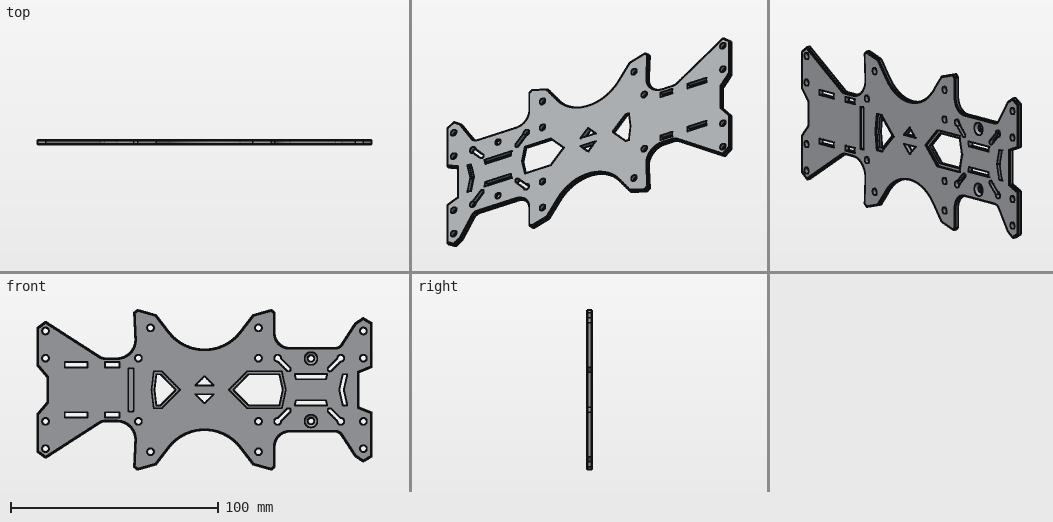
import cadquery as cq
import math

length = 161.28
height = 77.27
thickness = 2.5
edge_chamfer = 0.5
half_length = length / 2
half_height = height / 2
front_y = -thickness / 2

rear_notch_x = -75.9
rear_notch_floor_z = 6.0
rear_notch_mouth_z = 11.6
rear_corner_z = 30.0
rear_tip_x = -76.7
rear_tip_z = 32.9
rear_waist_z = 15.3
rear_slope_end = (-50.6, 16.1)
rear_slope_blend_x = -48.3
rear_waist_radius = 8.8
ear_root_x = 33.5
rear_ear_corner_x = 34.1
ear_corner_x = 33.95
ear_corner_z = 37.2
ear_tip_x = 32.3
ear_shoulder_x = 23.4
ear_shoulder_z = 36.1
scallop_radius = 21.6
scallop_center_z = 41.1
front_waist_z = 20.25
front_waist_radius = 7.2
front_waist_end_x = 63.0
front_slope_start = (66.2, 22.1)
front_slope_end = (72.7, 32.1)
front_tip_x = 76.6
front_tip_z = 34.7
front_corner_z = 32.3
front_notch_x = 74.5
front_notch_floor_z = 8.4
front_notch_mouth_z = 10.9

bolt_hole_diameter = 3.2
bolt_hole_positions = [
    (-76.75, 28.4),
    (-76.75, 15.25),
    (-31.9, 15.25),
    (-26.05, 29.9),
    (26.05, 29.9),
    (26.05, 15.25),
    (76.7, 28.4),
    (76.7, 15.25),
]
countersink_x = 51.4
countersink_z = 15.1
countersink_diameter = 6.2
countersink_bore_diameter = 3.05
countersink_depth = 1.2

stack_center_x = 50.55
stack_large_pitch = 30.5
stack_small_pitch = 20.0
keyhole_slot_width = 2.1

strap_slot_width = 2.5
strap_slot_z = 12.1
rear_strap_slots = [(-62.0, 10.9), (-44.5, 6.9)]
front_strap_slot_x = 51.4
front_strap_outer_length = 15.6
front_strap_inner_length = 14.4
front_strap_outer_z = 7.55
front_strap_inner_z = 5.1

groove_x = -35.5
groove_width = 2.5
groove_length = 21.0
groove_depth = 0.8
groove_corner_radius = 0.5

window_half_height = 9.0
window_apex_x = 11.8
window_shoulder_x = 20.7
rear_window_end_x = 24.5
rear_window_middle_x = 25.6
front_window_end_x = 37.3
front_window_middle_x = 39.3
rim_width = 1.5
rim_depth = 1.0

triangle_half_base = 4.4
triangle_base_z = 2.2
triangle_apex_z = 6.6
chevron_width = 2.1
chevron_half_height = 7.5
chevron_middle_x = 65.1
chevron_end_x = 66.8


def plane_at(y):
    """Sketch plane at the given Y: local x is +X, local y is +Z, and the normal is -Y."""
    return cq.Workplane(cq.Plane(origin=(0, y, 0), xDir=(1, 0, 0), normal=(0, -1, 0)))


def cut_prism(wire, depth=thickness):
    """Solid that enters from the front face to the given depth."""
    return wire.extrude(-depth)


def polygon_prism(points, depth=thickness):
    return cut_prism(plane_at(front_y).polyline(points).close(), depth)


def mirrored_pair(solid):
    return solid.union(solid.mirror("XY"))


def scallop_tangent_point():
    """Point where the line from the +X ear shoulder touches the scallop circle."""
    dx = ear_shoulder_x
    dz = ear_shoulder_z - scallop_center_z
    distance = math.hypot(dx, dz)
    angle = math.atan2(dz, dx) - math.acos(scallop_radius / distance)
    return (
        scallop_radius * math.cos(angle),
        scallop_center_z + scallop_radius * math.sin(angle),
    )


def make_plate():
    tangent_x, tangent_z = scallop_tangent_point()
    arc_middle_inset = front_waist_radius * (1 - math.sqrt(0.5))
    upper = (
        plane_at(front_y)
        .moveTo(rear_notch_x, 0)
        .lineTo(rear_notch_x, rear_notch_floor_z)
        .lineTo(-half_length, rear_notch_mouth_z)
        .lineTo(-half_length, rear_corner_z)
        .lineTo(rear_tip_x, rear_tip_z)
        .lineTo(*rear_slope_end)
        .tangentArcPoint((rear_slope_blend_x, rear_waist_z), relative=False)
        .lineTo(-ear_root_x - rear_waist_radius, rear_waist_z)
        .tangentArcPoint((-ear_root_x, rear_waist_z + rear_waist_radius), relative=False)
        .lineTo(-rear_ear_corner_x, ear_corner_z)
        .lineTo(-ear_tip_x, half_height)
        .lineTo(-ear_shoulder_x, ear_shoulder_z)
        .lineTo(-tangent_x, tangent_z)
        .threePointArc((0, scallop_center_z - scallop_radius), (tangent_x, tangent_z))
        .lineTo(ear_shoulder_x, ear_shoulder_z)
        .lineTo(ear_tip_x, half_height)
        .lineTo(ear_corner_x, ear_corner_z)
        .lineTo(ear_corner_x, front_waist_z + front_waist_radius)
        .threePointArc(
            (ear_corner_x + arc_middle_inset, front_waist_z + arc_middle_inset),
            (ear_corner_x + front_waist_radius, front_waist_z),
        )
        .lineTo(front_waist_end_x, front_waist_z)
        .tangentArcPoint(front_slope_start, relative=False)
        .lineTo(*front_slope_end)
        .lineTo(front_tip_x, front_tip_z)
        .lineTo(half_length, front_corner_z)
        .lineTo(half_length, front_notch_mouth_z)
        .lineTo(front_notch_x, front_notch_floor_z)
        .lineTo(front_notch_x, 0)
        .close()
    )
    plate = mirrored_pair(cut_prism(upper)).clean()
    return plate.faces("<Y or >Y").chamfer(edge_chamfer)


def bolt_holes():
    points = [(x, side * z) for x, z in bolt_hole_positions for side in (1, -1)]
    return cut_prism(plane_at(front_y).pushPoints(points).circle(bolt_hole_diameter / 2))


def countersunk_holes():
    top_radius = countersink_diameter / 2
    hole_radius = countersink_bore_diameter / 2
    hole = (
        cq.Workplane("XY")
        .polyline([
            (0, front_y),
            (top_radius, front_y),
            (hole_radius, front_y + countersink_depth),
            (hole_radius, -front_y),
            (0, -front_y),
        ])
        .close()
        .revolve(360, (0, 0, 0), (0, 1, 0))
    )
    return mirrored_pair(hole.translate((countersink_x, 0, countersink_z)))


def keyhole_slots():
    large = stack_large_pitch / 2
    small = stack_small_pitch / 2
    slot_center = (large + small) / 2
    slot_length = (large - small) * math.sqrt(2) + keyhole_slot_width
    slots = None
    for side in (1, -1):
        bore = cut_prism(
            plane_at(front_y)
            .center(stack_center_x + side * large, large)
            .circle(bolt_hole_diameter / 2)
        )
        slot = cut_prism(
            plane_at(front_y)
            .center(stack_center_x + side * slot_center, slot_center)
            .slot2D(slot_length, keyhole_slot_width, side * 45)
        )
        keyhole = bore.union(slot)
        slots = keyhole if slots is None else slots.union(keyhole)
    return mirrored_pair(slots)


def rear_strap_slot(center_x, slot_length):
    wire = plane_at(front_y).center(center_x, strap_slot_z).rect(slot_length, strap_slot_width)
    return mirrored_pair(cut_prism(wire))


def front_strap_slots():
    outer = front_strap_outer_length / 2
    inner = front_strap_inner_length / 2
    return mirrored_pair(polygon_prism([
        (front_strap_slot_x - outer, front_strap_outer_z),
        (front_strap_slot_x + outer, front_strap_outer_z),
        (front_strap_slot_x + inner, front_strap_inner_z),
        (front_strap_slot_x - inner, front_strap_inner_z),
    ]))


def rear_groove():
    wire = plane_at(front_y).center(groove_x, 0).rect(groove_width, groove_length)
    return cut_prism(wire, groove_depth).edges("|Y").fillet(groove_corner_radius)


def rimmed_window(direction, end_x, middle_x):
    """Pointed window toward the plate centre, with a recessed rim around it."""
    points = [
        (direction * window_apex_x, 0),
        (direction * window_shoulder_x, window_half_height),
        (direction * end_x, window_half_height),
        (direction * middle_x, 0),
        (direction * end_x, -window_half_height),
        (direction * window_shoulder_x, -window_half_height),
    ]
    rim = polygon_prism(points, rim_depth)
    opening = plane_at(front_y).polyline(points).close().offset2D(-rim_width)
    return rim.union(cut_prism(opening))


def center_triangles():
    return mirrored_pair(polygon_prism([
        (-triangle_half_base, triangle_base_z),
        (triangle_half_base, triangle_base_z),
        (0, triangle_apex_z),
    ]))


def chevron_slot():
    return polygon_prism([
        (chevron_middle_x, 0),
        (chevron_end_x, chevron_half_height),
        (chevron_end_x + chevron_width, chevron_half_height),
        (chevron_middle_x + chevron_width, 0),
        (chevron_end_x + chevron_width, -chevron_half_height),
        (chevron_end_x, -chevron_half_height),
    ])


cutters = [
    bolt_holes(),
    countersunk_holes(),
    keyhole_slots(),
    front_strap_slots(),
    rear_groove(),
    rimmed_window(-1, rear_window_end_x, rear_window_middle_x),
    rimmed_window(1, front_window_end_x, front_window_middle_x),
    center_triangles(),
    chevron_slot(),
]
for slot_x, slot_length in rear_strap_slots:
    cutters.append(rear_strap_slot(slot_x, slot_length))

result = make_plate()
for cutter in cutters:
    result = result.cut(cutter)